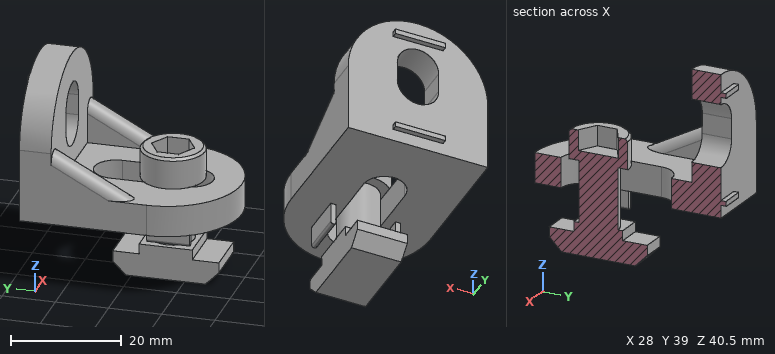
import cadquery as cq
import math

width = 28.0
end_radius = width / 2
thickness = 6.0
base_length = 37.98
back_height = width

slot_width = 8.25
base_slot_near = 14.25
base_slot_far = 28.42
back_slot_low = 14.0
back_slot_high = 17.98

gusset_width = 4.0
gusset_crest_height = 14.0
gusset_crest_run = 15.02

screw_y = -25.0
head_diameter = 12.0
head_height = 6.0
head_chamfer = 0.5
socket_flats = 7.0
socket_depth = 4.0
shank_diameter = 8.0

nut_width = 10.0
nut_neck_length = 10.0
nut_length = 20.0
nut_top = -6.0
nut_shoulder = -7.95
nut_bottom = -12.47
nut_chamfer = 2.5

tab_thickness = 1.0
base_tab_spacing = 13.0
base_tab_length = 8.0
base_tab_drop = 4.5
base_tab_y = -26.0
base_tab_round = 0.4
back_tab_width = 10.0
back_tab_depth = 1.0
back_tab_low = 3.0
back_tab_high = 24.0


def rounded_plate(length):
    """Plate outline from the origin along +Y, with a half-round far end."""
    straight = length - end_radius
    return (
        cq.Workplane("XY")
        .moveTo(-end_radius, 0)
        .lineTo(end_radius, 0)
        .lineTo(end_radius, straight)
        .threePointArc((0, length), (-end_radius, straight))
        .close()
        .extrude(thickness)
    )


def slot_cutter(near_centre, far_centre):
    """Slot along Y through a plate."""
    span = far_centre - near_centre
    return (
        cq.Workplane("XY")
        .center(0, (near_centre + far_centre) / 2)
        .slot2D(span + slot_width, slot_width, 90)
        .extrude(thickness)
    )


def make_bracket():
    base = rounded_plate(base_length).cut(slot_cutter(base_slot_near, base_slot_far))
    base = base.mirror("XZ")
    back = rounded_plate(back_height).cut(slot_cutter(back_slot_low, back_slot_high))
    back = back.rotate((0, 0, 0), (1, 0, 0), 90)
    return base.union(back)


def make_gusset(side):
    """Sloping rib whose top is a half cylinder; side is -1 or +1."""
    radius = gusset_width / 2
    centre_x = side * (end_radius - radius)
    slope = (gusset_crest_height - thickness) / gusset_crest_run
    axis_drop = radius * math.hypot(1, slope)
    axis_height = gusset_crest_height - axis_drop
    web_run = (axis_height - thickness) / slope

    web = (
        cq.Workplane("YZ")
        .polyline([
            (-thickness, thickness),
            (-thickness, axis_height),
            (-thickness - web_run, thickness),
        ])
        .close()
        .extrude(radius, both=True)
        .translate((centre_x, 0, 0))
    )

    direction = cq.Vector(0, -1, -slope)
    start = cq.Vector(centre_x, 0, axis_height + slope * thickness)
    rod_length = 2 * gusset_crest_run
    rod = cq.Workplane(obj=cq.Solid.makeCylinder(radius, rod_length, start, direction))
    corner = cq.Workplane("XY").box(
        width, base_length, back_height, centered=(True, True, False)
    ).translate((0, -thickness - base_length / 2, thickness))
    return web.union(rod.intersect(corner))


def make_screw():
    head = (
        cq.Workplane("XY", origin=(0, screw_y, thickness))
        .circle(head_diameter / 2)
        .extrude(head_height)
        .faces(">Z")
        .chamfer(head_chamfer)
    )
    socket_corners = socket_flats / math.cos(math.pi / 6)
    socket = (
        cq.Workplane("XY")
        .polygon(6, socket_corners)
        .extrude(socket_depth)
        .rotate((0, 0, 0), (0, 0, 1), 30)
        .translate((0, screw_y, thickness + head_height - socket_depth))
    )
    shank = (
        cq.Workplane("XY", origin=(0, screw_y, nut_top))
        .circle(shank_diameter / 2)
        .extrude(thickness - nut_top)
    )
    return head.cut(socket).union(shank)


def make_nut():
    neck = (
        cq.Workplane("XY", origin=(0, screw_y, nut_shoulder))
        .rect(nut_width, nut_neck_length)
        .extrude(nut_top - nut_shoulder)
    )
    body = (
        cq.Workplane("XY", origin=(0, screw_y, nut_bottom))
        .rect(nut_width, nut_length)
        .extrude(nut_shoulder - nut_bottom)
        .faces("<Z")
        .edges("|X")
        .chamfer(nut_chamfer)
    )
    return neck.union(body)


def make_base_tab(side):
    return (
        cq.Workplane("XY", origin=(side * base_tab_spacing / 2, base_tab_y, 0))
        .rect(tab_thickness, base_tab_length)
        .extrude(-base_tab_drop)
        .faces("<Z")
        .edges("|Y")
        .fillet(base_tab_round)
    )


def make_back_tab(height):
    return cq.Workplane("XY").box(
        back_tab_width, back_tab_depth, tab_thickness, centered=(True, False, True)
    ).translate((0, 0, height))


result = make_bracket()
for side in (-1, 1):
    result = result.union(make_gusset(side)).union(make_base_tab(side))
for height in (back_tab_low, back_tab_high):
    result = result.union(make_back_tab(height))
result = result.union(make_screw()).union(make_nut())